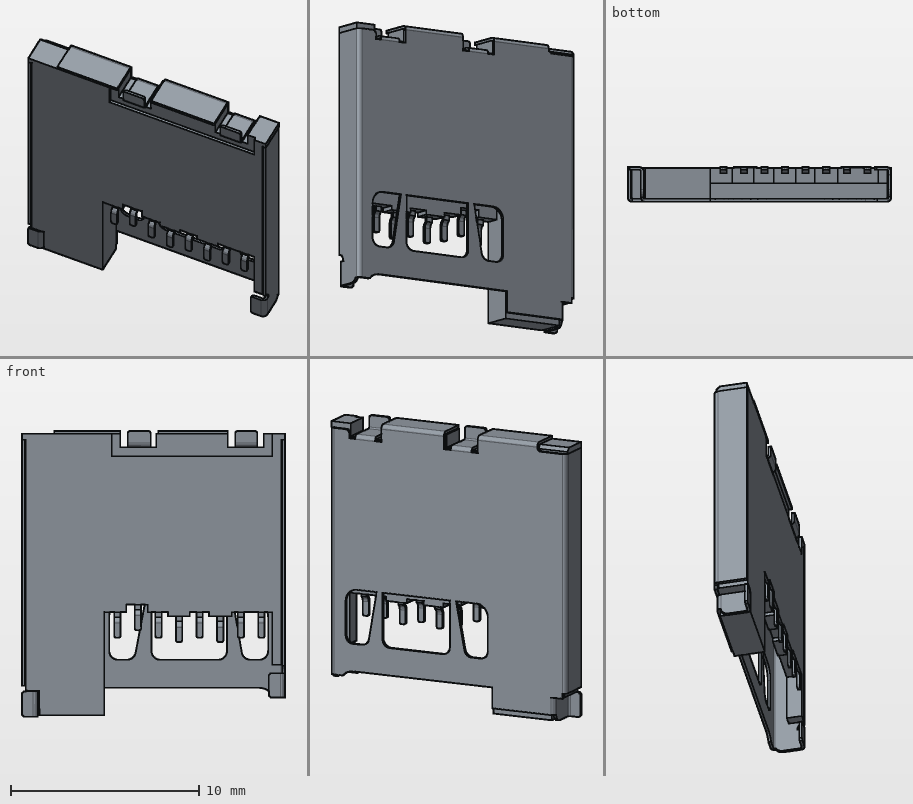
import cadquery as cq

WIDTH = 14.0
DEPTH = 1.85
HEIGHT = 15.2

SHEET = 0.15
BEND_OUTER = 0.23
BEND_INNER = BEND_OUTER - SHEET

STANDOFF = 0.05
HOUSING_BACK = DEPTH - SHEET
HOUSING_TOP = HEIGHT - SHEET
HOUSING_BOTTOM = 0.08
WALL_GAP = 0.05
HOUSING_LEFT = SHEET + WALL_GAP
HOUSING_RIGHT = WIDTH - SHEET - WALL_GAP
SIDE_WALL_TOP = 14.73
BEND_CLEARANCE = 0.08
LEFT_TOP_CHAMFER = 0.2

LEFT_BLOCK_RIGHT = 4.4
RAIL_LEFT = 13.32
RAIL_BOTTOM = 2.77
CONTACT_EDGE = 5.56
HIGH_EDGE = 5.96
LOW_EDGE = 5.34
HIGH_NOTCH = (5.56, 6.7)
LOW_LIPS = ((7.77, 8.94), (9.94, 11.17))

CAVITY_FLOOR = 0.87
CAVITY_TOP = 13.86

TOP_NOTCHES = ((5.25, 7.15), (10.96, 12.86))
NOTCH_FLOOR = 14.33
RECESS_LEFT = 4.77
RECESS_BOTTOM = CAVITY_TOP
RECESS_DEPTH = 0.17

CONTACT_COUNT = 8
CONTACT_PITCH = 1.1
FIRST_CONTACT_X = 5.08
CONTACT_WIDTH = 0.35
CONTACT_THICKNESS = 0.15
CONTACT_OFFSET = 0.18
CONTACT_REACH = 1.37
CONTACT_NECK = 0.26
CONTACT_SLOPE = 0.3
CONTACT_ANCHOR = 0.61
CONTACT_TIP_RADIUS = 0.12
HIGH_CONTACTS = (1,)
LOW_CONTACTS = (3, 5)

TOP_WALLS = ((1.72, 5.25), (7.25, 10.96))
TOP_TABS = ((5.62, 6.85), (11.34, 12.52))
TAB_CORNER = 0.14
TOP_GAPS = ((TOP_WALLS[0][1], TOP_WALLS[1][0]), TOP_NOTCHES[1])
CORNER_RADIUS = 0.23

LEFT_WALL_BOTTOM = 1.64
BACK_BOTTOM = 1.54
RIGHT_BEND_BOTTOM = 1.25
CURVE_START_X = 12.62
CURVE_END_X = 13.25
WINDOW_BOTTOM = 3.04
WINDOW_TOP = 6.02
WINDOW_RADIUS = 0.45
OUTER_WINDOW_RADIUS = 0.68
MIDDLE_WINDOW = (6.9, 10.9)
LEFT_WINDOW_SIDE = 4.65
LEFT_WINDOW_SLANT = (5.97, 6.54)
RIGHT_WINDOW_SIDE = 13.09
RIGHT_WINDOW_SLANT = (11.76, 11.25)

FOOT_BEND = 0.26
FOOT_CORNER = 0.1
LEG_RADIUS = 0.43
LEFT_LEG_X = 0.7
LEFT_FOOT_TOP = 1.35
LEFT_BEND_BOTTOM = 0.4
LEFT_POCKET_RIGHT = 0.93
RIGHT_FOOT_LEFT = 13.13
RIGHT_FOOT_BOTTOM = 1.02
RIGHT_FOOT_TOP = 2.33
RELIEF_RADIUS = 0.38


def block(x_range, y_range, z_range):
    """Box between the given limits."""
    sizes = [end - start for start, end in (x_range, y_range, z_range)]
    corner = (x_range[0], y_range[0], z_range[0])
    return cq.Workplane("XY").box(*sizes, centered=False).translate(corner)


def contact_edge(index):
    """Height of the housing edge under which a contact comes out."""
    if index in HIGH_CONTACTS:
        return HIGH_EDGE
    if index in LOW_CONTACTS:
        return LOW_EDGE
    return CONTACT_EDGE


def contact_left(index):
    """Lower X side of a contact."""
    return FIRST_CONTACT_X + index * CONTACT_PITCH - CONTACT_WIDTH / 2


def make_contact(index):
    """Jogged strip: anchor inside the housing, curved step, foot on the mounting plane."""
    edge = contact_edge(index)
    slope_top = edge - CONTACT_NECK
    slope_bottom = slope_top - CONTACT_SLOPE
    tip = edge - CONTACT_REACH
    anchor_top = edge + CONTACT_ANCHOR
    rear_face = CONTACT_OFFSET + CONTACT_THICKNESS
    bend_radius = (CONTACT_OFFSET**2 + CONTACT_SLOPE**2) / (2 * CONTACT_OFFSET)
    strip = (
        cq.Workplane("YZ")
        .moveTo(CONTACT_THICKNESS, tip)
        .lineTo(CONTACT_THICKNESS, slope_bottom)
        .tangentArcPoint((rear_face, slope_top), relative=False)
        .lineTo(rear_face, anchor_top)
        .lineTo(CONTACT_OFFSET, anchor_top)
        .lineTo(CONTACT_OFFSET, slope_top)
        .radiusArc((0, slope_bottom), -bend_radius)
        .lineTo(0, tip)
        .close()
        .extrude(CONTACT_WIDTH)
    )
    strip = strip.faces("<Z").edges("|Y").fillet(CONTACT_TIP_RADIUS)
    return strip.translate((contact_left(index), 0, 0))


def contact_slot(index):
    """Space in the housing for the anchor of one contact."""
    left = contact_left(index)
    edge = contact_edge(index)
    return block(
        (left, left + CONTACT_WIDTH),
        (CONTACT_OFFSET, CONTACT_OFFSET + CONTACT_THICKNESS),
        (edge, edge + CONTACT_ANCHOR),
    )


def back_edge_wedge(x_range, top, size):
    """Chamfer wedge along X on a rear upper edge of the housing."""
    left, right = x_range
    corners = [(HOUSING_BACK - size, top), (HOUSING_BACK, top), (HOUSING_BACK, top - size)]
    return cq.Workplane("YZ", origin=(left, 0, 0)).polyline(corners).close().extrude(right - left)


def make_housing():
    """Moulded block with a card cavity, notched top and stepped contact edge."""
    y_range = (STANDOFF, HOUSING_BACK)

    body = block((HOUSING_LEFT, HOUSING_RIGHT), y_range, (HOUSING_BOTTOM, SIDE_WALL_TOP))
    body = body.edges("|Z and >Y").chamfer(BEND_CLEARANCE)
    body = body.union(block((0, WIDTH), y_range, (SIDE_WALL_TOP, HOUSING_TOP)))

    body = body.cut(block((0, LEFT_POCKET_RIGHT), y_range, (0, LEFT_FOOT_TOP + WALL_GAP)))
    body = body.cut(block((LEFT_BLOCK_RIGHT, RAIL_LEFT), y_range, (0, CONTACT_EDGE)))
    body = body.cut(block((RAIL_LEFT, WIDTH), y_range, (0, RAIL_BOTTOM)))
    cavity_y = (CAVITY_FLOOR, HOUSING_BACK)
    body = body.cut(block((LEFT_BLOCK_RIGHT, HOUSING_RIGHT), cavity_y, (0, CAVITY_TOP)))

    body = body.cut(block(HIGH_NOTCH, y_range, (CONTACT_EDGE, HIGH_EDGE)))
    floor_y = (STANDOFF, CAVITY_FLOOR)
    for lip in LOW_LIPS:
        body = body.union(block(lip, floor_y, (LOW_EDGE, CONTACT_EDGE)))

    for notch in TOP_NOTCHES:
        body = body.cut(block(notch, y_range, (NOTCH_FLOOR, HOUSING_TOP)))
    recess_y = (STANDOFF, STANDOFF + RECESS_DEPTH)
    body = body.cut(block((RECESS_LEFT, RAIL_LEFT), recess_y, (RECESS_BOTTOM, HOUSING_TOP)))

    first_wall_left = TOP_WALLS[0][0]
    body = body.cut(back_edge_wedge((0, first_wall_left), HOUSING_TOP, LEFT_TOP_CHAMFER))
    for x_range in TOP_WALLS:
        body = body.cut(back_edge_wedge(x_range, HOUSING_TOP, BEND_CLEARANCE))
    for x_range in TOP_TABS:
        body = body.cut(back_edge_wedge(x_range, NOTCH_FLOOR, BEND_CLEARANCE))

    for index in range(CONTACT_COUNT):
        body = body.cut(contact_slot(index))
    return body


def point_edge(x, z):
    """Selector for the edge through the back plate at the given place."""
    place = (x, DEPTH - SHEET / 2, z)
    return cq.selectors.NearestToPointSelector(place)


def shell_channel():
    """Back plate with both side walls, bent from one sheet."""
    z_range = (LEFT_BEND_BOTTOM, SIDE_WALL_TOP)
    outer = block((0, WIDTH), (STANDOFF, DEPTH), z_range)
    outer = outer.edges("|Z and >Y").fillet(BEND_OUTER)
    inner = block((SHEET, WIDTH - SHEET), (0, HOUSING_BACK), z_range)
    inner = inner.edges("|Z and >Y").fillet(BEND_INNER)
    return outer.cut(inner)


def plate_bottom_cut():
    """Region removed below the back plate, with a curved drop towards the right leg."""
    return (
        cq.Workplane("XZ")
        .moveTo(LEFT_BLOCK_RIGHT, 0)
        .lineTo(LEFT_BLOCK_RIGHT, BACK_BOTTOM)
        .lineTo(CURVE_START_X, BACK_BOTTOM)
        .tangentArcPoint((CURVE_END_X, RIGHT_BEND_BOTTOM), relative=False)
        .lineTo(WIDTH, RIGHT_BEND_BOTTOM)
        .lineTo(WIDTH, 0)
        .close()
        .extrude(-DEPTH)
    )


def plate_window(left_bottom, left_top, right_bottom, right_top):
    """Opening in the back plate with rounded lower corners."""
    outline = [
        (left_bottom, WINDOW_BOTTOM),
        (left_top, WINDOW_TOP),
        (right_top, WINDOW_TOP),
        (right_bottom, WINDOW_BOTTOM),
    ]
    window = cq.Workplane("XZ").polyline(outline).close().extrude(-DEPTH)
    return window.faces("<Z").edges("|Y").fillet(WINDOW_RADIUS)


def back_windows():
    """Three openings behind the contact feet; the outer two have one slanted side."""
    middle_left, middle_right = MIDDLE_WINDOW
    left_low, left_high = LEFT_WINDOW_SLANT
    right_low, right_high = RIGHT_WINDOW_SLANT
    left_window = plate_window(LEFT_WINDOW_SIDE, LEFT_WINDOW_SIDE, left_low, left_high)
    left_window = left_window.edges("|Y and >Z and <X").fillet(OUTER_WINDOW_RADIUS)
    middle_window = plate_window(middle_left, middle_left, middle_right, middle_right)
    right_window = plate_window(right_low, right_high, RIGHT_WINDOW_SIDE, RIGHT_WINDOW_SIDE)
    right_window = right_window.edges("|Y and >Z and >X").fillet(OUTER_WINDOW_RADIUS)
    return left_window, middle_window, right_window


def top_wall(x_range):
    """Wall folded forward over the top of the housing."""
    outer = block(x_range, (STANDOFF, DEPTH), (RECESS_BOTTOM, HEIGHT))
    outer = outer.edges("|X and >Y and >Z").fillet(BEND_OUTER)
    inner = block(x_range, (0, HOUSING_BACK), (RECESS_BOTTOM, HOUSING_TOP))
    inner = inner.edges("|X and >Y and >Z").fillet(BEND_INNER)
    return outer.cut(inner)


def top_tab(x_range):
    """Tab folded forward through a notch and then up at the mounting plane."""
    strip_top = NOTCH_FLOOR + SHEET
    outer = block(x_range, (0, DEPTH), (RECESS_BOTTOM, strip_top))
    outer = outer.edges("|X and >Y and >Z").fillet(BEND_OUTER)
    inner = block(x_range, (0, HOUSING_BACK), (RECESS_BOTTOM, NOTCH_FLOOR))
    inner = inner.edges("|X and >Y and >Z").fillet(BEND_INNER)
    strip = outer.cut(inner).cut(block(x_range, (0, BEND_OUTER), (NOTCH_FLOOR, strip_top)))
    flap = block(x_range, (0, 2 * BEND_OUTER), (NOTCH_FLOOR, HEIGHT))
    flap = flap.edges("|X and <Y and <Z").fillet(BEND_OUTER)
    hollow = block(x_range, (SHEET, HOUSING_BACK), (strip_top, HEIGHT))
    hollow = hollow.edges("|X and <Y and <Z").fillet(BEND_INNER)
    flap = flap.cut(hollow).edges("|Y and >Z").fillet(TAB_CORNER)
    return strip.union(flap)


def folded_foot(leg_x, foot_left, bottom, top):
    """Leg running from the back plate to the mounting plane, its end bent towards -X as a solder foot."""
    leg_left, leg_right = leg_x
    leg = block(leg_x, (FOOT_BEND, DEPTH - BEND_OUTER), (bottom, top))
    leg = leg.edges("|X and >Y and <Z").fillet(LEG_RADIUS)
    foot = block((foot_left, leg_right), (0, 2 * FOOT_BEND), (bottom, top))
    foot = foot.edges("|Z and <Y and >X").fillet(FOOT_BEND)
    hollow = block((foot_left, leg_left), (SHEET, HOUSING_BACK), (bottom, top))
    hollow = hollow.edges("|Z and <Y and >X").fillet(FOOT_BEND - SHEET)
    foot = foot.cut(hollow).edges("|Y and <X").chamfer(FOOT_CORNER)
    return leg.union(foot)


def left_leg_bend():
    """Bend that joins the back plate to the left leg."""
    x_range = (LEFT_LEG_X, LEFT_LEG_X + 2 * BEND_OUTER)
    y_range = (DEPTH - BEND_OUTER - LEG_RADIUS, DEPTH)
    z_range = (LEFT_BEND_BOTTOM, LEFT_FOOT_TOP)
    outer = block(x_range, y_range, z_range).edges("|Z and >Y and <X").fillet(BEND_OUTER)
    inner = block((x_range[0] + SHEET, x_range[1]), (y_range[0], HOUSING_BACK), z_range)
    inner = inner.edges("|Z and >Y and <X").fillet(BEND_INNER)
    return outer.cut(inner)


def make_shell():
    """Sheet metal cover: back plate, side walls, top folds and solder feet."""
    full_depth = (0, DEPTH)
    shell = shell_channel()

    shell = shell.cut(block((0, BEND_OUTER), full_depth, (0, LEFT_WALL_BOTTOM)))
    leg_bend_right = LEFT_LEG_X + BEND_OUTER
    shell = shell.cut(block((0, leg_bend_right), full_depth, (0, LEFT_FOOT_TOP)))
    shell = shell.cut(plate_bottom_cut())
    relief_y = (0, FOOT_BEND + SHEET)
    relief = block((WIDTH - SHEET, WIDTH), relief_y, (0, RIGHT_FOOT_TOP + RELIEF_RADIUS))
    relief = relief.edges("|X and >Y and >Z").fillet(RELIEF_RADIUS)
    shell = shell.cut(relief)

    for window in back_windows():
        shell = shell.cut(window)

    for gap in TOP_GAPS:
        shell = shell.cut(block(gap, full_depth, (NOTCH_FLOOR - BEND_INNER, SIDE_WALL_TOP)))
    last_gap_right = TOP_GAPS[-1][1]
    right_corner = point_edge(last_gap_right, SIDE_WALL_TOP)
    shell = shell.edges(right_corner).fillet(CORNER_RADIUS)
    for x_range in TOP_WALLS:
        shell = shell.union(top_wall(x_range))
    left_corner = point_edge(TOP_WALLS[0][0], SIDE_WALL_TOP)
    shell = shell.edges(left_corner).fillet(CORNER_RADIUS)
    for x_range in TOP_TABS:
        shell = shell.union(top_tab(x_range))

    left_leg = (LEFT_LEG_X, LEFT_LEG_X + SHEET)
    right_leg = (WIDTH - SHEET, WIDTH)
    shell = shell.union(left_leg_bend())
    shell = shell.union(folded_foot(left_leg, 0, 0, LEFT_FOOT_TOP))
    return shell.union(folded_foot(right_leg, RIGHT_FOOT_LEFT, RIGHT_FOOT_BOTTOM, RIGHT_FOOT_TOP))


housing = make_housing()
shell = make_shell()
contacts = [make_contact(index) for index in range(CONTACT_COUNT)]

result = cq.Compound.makeCompound(
    [housing.val(), shell.val(), *[contact.val() for contact in contacts]]
)